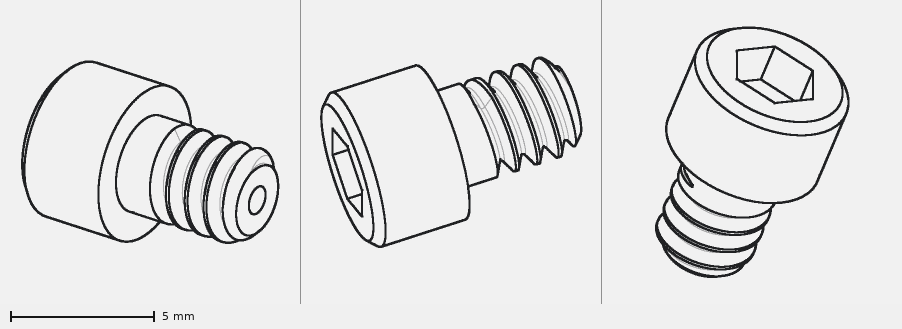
import cadquery as cq
import math

total_length = 8.23
head_length = 3.465
head_diameter = 5.64
head_chamfer = 0.33
shank_diameter = 3.51
end_chamfer = 0.48

socket_across_flats = 2.79
socket_depth = 1.52
bore_diameter = 1.01

pitch = 0.8
crest_width = 0.12
root_radius = 0.09
flank_half_angle = math.radians(30)
thread_start = 5.05
cutter_clearance = 0.04
runout_turns = 0.45
runout_steps = 9

shank_radius = shank_diameter / 2
sharp_depth = (pitch - crest_width) / 2 / math.tan(flank_half_angle)
thread_depth = sharp_depth - root_radius * (1 / math.sin(flank_half_angle) - 1)
root_diameter = shank_diameter - 2 * thread_depth


def make_head():
    head = cq.Workplane("YZ").circle(head_diameter / 2).extrude(head_length)
    return head.faces("<X").chamfer(head_chamfer)


def groove_profile():
    """Rounded V in the radial plane; local X is radial, local Z is axial."""
    outer = shank_radius + cutter_clearance
    outer_half = (sharp_depth + cutter_clearance) * math.tan(flank_half_angle)
    arc_half = root_radius * math.cos(flank_half_angle)
    root = shank_radius - thread_depth
    tangent = root + root_radius * (1 - math.sin(flank_half_angle))
    return (
        cq.Workplane("XZ")
        .moveTo(outer, -outer_half)
        .lineTo(tangent, -arc_half)
        .threePointArc((root, 0), (tangent, arc_half))
        .lineTo(outer, outer_half)
        .close()
        .wires()
        .val()
    )


def make_thread_groove():
    """Full-depth groove whose helix starts at +Z and advances along +X."""
    length = total_length - thread_start + pitch
    helix = cq.Wire.makeHelix(pitch, length, root_diameter / 2)
    groove = cq.Solid.sweep(groove_profile(), [], helix, isFrenet=True)
    plane = cq.Plane(origin=(thread_start, 0, 0), xDir=(0, 0, 1), normal=(1, 0, 0))
    return groove.moved(cq.Location(plane))


def make_runout():
    """Groove continued back towards the head, rising out of the shank as it turns."""
    sections = []
    for step in range(runout_steps + 1):
        turns = runout_turns * step / runout_steps
        setback = turns * pitch
        rise = setback / math.tan(flank_half_angle)
        section = groove_profile().translate(cq.Vector(rise, 0, setback))
        axis_start = cq.Vector(0, 0, 0)
        axis_end = cq.Vector(0, 0, 1)
        sections.append(section.rotate(axis_start, axis_end, turns * 360))
    plane = cq.Plane(origin=(thread_start, 0, 0), xDir=(0, 0, 1), normal=(-1, 0, 0))
    return cq.Solid.makeLoft(sections).moved(cq.Location(plane))


def make_shank():
    shank = cq.Workplane("YZ").circle(shank_radius).extrude(total_length + 2 * pitch)
    shank = shank.cut(cq.Workplane(make_thread_groove()))
    shank = shank.cut(cq.Workplane(make_runout()))
    trimmed = cq.Workplane("YZ").circle(head_diameter / 2).extrude(total_length)
    end_inset = head_diameter / 2 - shank_radius + end_chamfer
    return shank.intersect(trimmed.faces(">X").chamfer(end_inset))


def make_socket():
    across_corners = socket_across_flats / math.cos(math.pi / 6)
    return (
        cq.Workplane("YZ")
        .transformed(rotate=(0, 0, 90))
        .polygon(6, across_corners)
        .extrude(socket_depth)
    )


bore = cq.Workplane("YZ").circle(bore_diameter / 2).extrude(total_length)

result = make_head().union(make_shank()).cut(make_socket()).cut(bore)